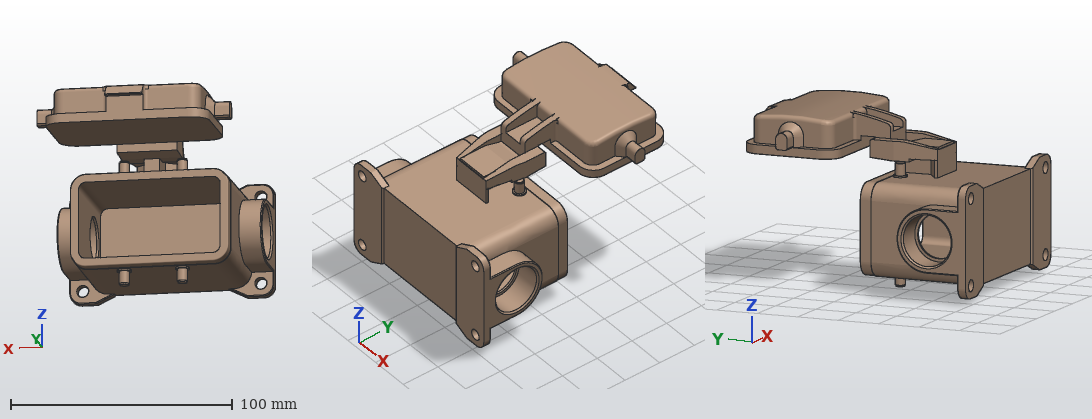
import cadquery as cq
import math


selection_margin = 0.2

housing_front_y = 1.0
housing_rear_y = 57.0
rim_depth = 5.6
rim_front_y = housing_rear_y - rim_depth
rim_half_width = 36.3
rim_half_height = 21.4
rim_corner_radius = 7.2
rim_edge_fillet = 0.5
shell_step = 0.2
shell_corner_radius = 7.6
shell_draft = 0.3
wall = 3.8

foot_half_width = 47.0
foot_half_height = 25.9
foot_thickness = 4.1
foot_corner_radius = 5.2
foot_inner_x = 26.3
foot_inner_half_height = 21.9
foot_slope_start_x = 34.7
foot_slope_fillet = 1.8
foot_step_chamfer = 0.7
foot_edge_chamfer = 0.5
foot_hole_x = 40.9
foot_hole_z = 20.0
foot_hole_diameter = 5.5

entry_y = 19.3
entry_outer_radius = 14.8
entry_bore_radius = 11.8
entry_mouth_chamfer = 0.8
entry_edge_chamfer = 0.5
entry_bore_end_x = 33.6
entry_throat_radius = 10.4

pin_x = 13.4
pin_y = 47.3
pin_radius = 2.4
pin_tip_z = 28.6
pin_tip_step = 0.7
pin_tip_inset = 0.4
collar_radius = 3.2
collar_top_z = 22.4

lid_y = 92.3
flange_half_width = 37.5
flange_half_depth = 23.2
flange_corner_radius = 8.2
flange_bottom_z = 31.5
flange_top_z = 35.7
cover_half_width = 33.8
cover_half_depth = 20.0
cover_corner_radius = 5.1
cover_edge_fillet = 2.1
crown_z = 49.5
crown_radius = 134.9

arm_half_width = 8.5
arm_front_y = 54.3
arm_bottom_z = 37.9
arm_tip_fillet = 2.4
arm_root_fillet = 1.4
tab_root_fillet = 1.9
tab_tip_y = 118.3
tab_tip_z = 43.2
tab_bottom_z = 42.7
tab_bevel_y = 114.8
pocket_half_width = 5.2
pocket_floor_z = 40.6

trunnion_root_x = 30.0
trunnion_end_x = 44.3
trunnion_z = 40.5
trunnion_radius = 2.8
trunnion_bottom_z = 35.6
trunnion_chamfer = 0.8
trunnion_base_radius = 6.3

lever_rear_y = 62.2
lever_knee_y = 50.3
lever_crest_y = 46.1
lever_front_y = 30.3
lever_pad_front_y = 43.4
lever_half_width = 13.8
lever_front_half_width = 10.6
lever_top_z = 37.6
lever_front_top_z = 34.8
lever_bottom_z = 29.8
lever_knee_bottom_z = 28.5
lever_rear_bottom_z = 29.3
lever_rear_chamfer = 0.6
panel_z = 35.6
panel_front_y = 30.6
panel_rear_y = 45.1
panel_ledge_z = 34.5
panel_dip_y = 52.7
panel_dip_z = 33.6
lever_front_plate = 1.4
leg_half_width = 3.5
leg_rear_y = 51.1
leg_front_y = 36.7
leg_flare_half_width = 10.4
leg_bottom_z = 21.5


def rounded_block_y(half_width, half_height, radius, start_y, end_y):
    """Rounded rectangle in XZ, running from start_y down to end_y along -Y."""
    return (
        cq.Workplane("XZ", origin=(0, start_y, 0))
        .rect(2 * half_width, 2 * half_height)
        .extrude(start_y - end_y)
        .edges("|Y")
        .fillet(radius)
    )


def side_profile(points, half_width):
    """Closed (y, z) outline extruded symmetrically across X = 0."""
    return cq.Workplane("YZ").polyline(points).close().extrude(half_width, both=True)


def mirrored_x(solid):
    """The solid together with its mirror image across X = 0."""
    return solid.union(solid.mirror("YZ"))


def make_shell():
    rim = rounded_block_y(
        rim_half_width, rim_half_height, rim_corner_radius, housing_rear_y, housing_front_y
    )
    rim = rim.faces(">Y").edges().fillet(rim_edge_fillet)
    corner_x = rim_half_width + shell_step
    corner_z = rim_half_height + shell_step
    shell_outline = cq.Sketch().rect(2 * corner_x, 2 * corner_z).vertices().fillet(shell_corner_radius)
    shell = (
        cq.Workplane("XZ", origin=(0, rim_front_y, 0))
        .placeSketch(shell_outline)
        .extrude(rim_front_y - housing_front_y, taper=-shell_draft)
    )
    return rim.union(shell)


def make_foot():
    outline = [
        (foot_inner_x, foot_inner_half_height),
        (foot_slope_start_x, foot_half_height),
        (foot_half_width, foot_half_height),
        (foot_half_width, -foot_half_height),
        (foot_slope_start_x, -foot_half_height),
        (foot_inner_x, -foot_inner_half_height),
    ]
    foot = cq.Workplane("XZ").polyline(outline).close().extrude(-foot_thickness)
    foot = foot.edges("|Y and >X").fillet(foot_corner_radius)
    slope_ends = cq.selectors.BoxSelector(
        (foot_slope_start_x - selection_margin, -foot_thickness, -2 * foot_half_height),
        (foot_slope_start_x + selection_margin, 2 * foot_thickness, 2 * foot_half_height),
    )
    foot = foot.edges("|Y").edges(slope_ends).fillet(foot_slope_fillet)
    foot = foot.faces(">Y").edges("not(<X)").chamfer(foot_edge_chamfer)
    foot = foot.edges("|Z and <X and <Y").chamfer(foot_step_chamfer)
    holes = (
        cq.Workplane("XZ")
        .pushPoints([(foot_hole_x, foot_hole_z), (foot_hole_x, -foot_hole_z)])
        .circle(foot_hole_diameter / 2)
        .extrude(-foot_thickness)
    )
    return foot.cut(holes)


def make_entry_boss():
    """U-shaped boss: a round entry whose sides run straight down to the foot."""
    boss = (
        cq.Workplane("YZ")
        .moveTo(foot_thickness / 2, entry_outer_radius)
        .lineTo(entry_y, entry_outer_radius)
        .threePointArc((entry_y + entry_outer_radius, 0), (entry_y, -entry_outer_radius))
        .lineTo(foot_thickness / 2, -entry_outer_radius)
        .close()
        .extrude(foot_half_width)
    )
    boss = boss.faces(">X").edges("not(<Y)").chamfer(entry_edge_chamfer)
    inner_half = cq.Workplane("XY").box(
        rim_half_width - wall, 2 * housing_rear_y, 4 * foot_half_height, centered=(False, True, True)
    )
    return boss.cut(inner_half)


def make_entry_bore():
    mouth_radius = entry_bore_radius + entry_mouth_chamfer
    profile = [
        (0, 0),
        (0, entry_throat_radius),
        (entry_bore_end_x, entry_throat_radius),
        (entry_bore_end_x, entry_bore_radius),
        (foot_half_width - entry_mouth_chamfer, entry_bore_radius),
        (foot_half_width, mouth_radius),
        (foot_half_width, 0),
    ]
    return (
        cq.Workplane("XY", origin=(0, entry_y, 0))
        .polyline(profile)
        .close()
        .revolve(360, (0, 0), (1, 0))
    )


def make_cavity():
    """Contact chamber, open at the mating end (+Y)."""
    return rounded_block_y(
        rim_half_width - wall,
        rim_half_height - wall,
        rim_corner_radius - wall,
        housing_rear_y,
        housing_front_y + wall,
    )


def make_pin():
    root_z = rim_half_height - wall
    tip_radius = pin_radius - pin_tip_inset
    profile = [
        (0, root_z),
        (collar_radius, root_z),
        (collar_radius, collar_top_z),
        (pin_radius, collar_top_z),
        (pin_radius, pin_tip_z - pin_tip_step),
        (tip_radius, pin_tip_z - pin_tip_step),
        (tip_radius, pin_tip_z),
        (0, pin_tip_z),
    ]
    return (
        cq.Workplane("XZ", origin=(pin_x, pin_y, 0))
        .polyline(profile)
        .close()
        .revolve(360, (0, 0), (0, 1))
    )


def crown_height(y):
    """Height of the arched lid top at a given Y."""
    return crown_z - crown_radius + math.sqrt(crown_radius**2 - (y - lid_y) ** 2)


def make_cover_block():
    return (
        cq.Workplane("XY", origin=(0, lid_y, flange_bottom_z))
        .rect(2 * cover_half_width, 2 * cover_half_depth)
        .extrude(crown_z - flange_bottom_z)
        .edges("|Z")
        .fillet(cover_corner_radius)
    )


def make_crown():
    """Cylinder along X that arches the lid top."""
    return (
        cq.Workplane("YZ", origin=(0, lid_y, crown_z - crown_radius))
        .circle(crown_radius)
        .extrude(foot_half_width, both=True)
    )


def round_cover_edges(lid):
    """Round the rim of the lid top, leaving the sides of the arm sharp."""
    half_depth = cover_half_depth + selection_margin
    rim_zone = cq.selectors.BoxSelector(
        (-flange_half_width, lid_y - half_depth, flange_top_z),
        (flange_half_width, lid_y + half_depth, crown_z),
    )
    top = lid.faces(cq.selectors.NearestToPointSelector((0, lid_y, crown_z)))
    return top.edges(rim_zone).fillet(cover_edge_fillet)


def round_arm_tips(lid):
    """Round the top front corners of the two arm ribs."""
    tip_zone = cq.selectors.BoxSelector(
        (-arm_half_width, arm_front_y - selection_margin, pocket_floor_z + selection_margin),
        (arm_half_width, arm_front_y + selection_margin, crown_z),
    )
    return lid.edges("|X").edges(tip_zone).fillet(arm_tip_fillet)


def make_flange():
    return (
        cq.Workplane("XY", origin=(0, lid_y, flange_bottom_z))
        .rect(2 * flange_half_width, 2 * flange_half_depth)
        .extrude(flange_top_z - flange_bottom_z)
        .edges("|Z")
        .fillet(flange_corner_radius)
    )


def make_arm():
    """Spine of the lid: rear tab, flat top to be arched later, and front arm down to the lever."""
    flange_rear_y = lid_y + flange_half_depth
    flange_front_y = lid_y - flange_half_depth
    return (
        cq.Workplane("YZ")
        .moveTo(arm_front_y, crown_z)
        .lineTo(tab_bevel_y, crown_z)
        .lineTo(tab_bevel_y, crown_height(tab_bevel_y))
        .lineTo(tab_tip_y, tab_tip_z)
        .lineTo(tab_tip_y, tab_bottom_z)
        .lineTo(flange_rear_y, tab_bottom_z)
        .lineTo(flange_rear_y, flange_bottom_z)
        .lineTo(flange_front_y, flange_bottom_z)
        .lineTo(flange_front_y, arm_bottom_z)
        .lineTo(lever_rear_y, arm_bottom_z)
        .lineTo(lever_rear_y, lever_bottom_z)
        .lineTo(arm_front_y, lever_bottom_z)
        .close()
        .extrude(arm_half_width, both=True)
    )


def make_root_fillets(wall_y, outward, radius):
    """Concave corners where the arm leaves the lid wall."""
    corner = (
        cq.Workplane("XY", origin=(0, 0, flange_top_z))
        .moveTo(arm_half_width, wall_y)
        .lineTo(arm_half_width + radius, wall_y)
        .radiusArc((arm_half_width, wall_y + outward * radius), outward * radius)
        .close()
        .extrude(crown_z - flange_top_z)
    )
    return mirrored_x(corner)


def make_pocket():
    """Channel in the arm, running back to the front wall of the lid."""
    rear_y = lid_y - cover_half_depth
    return (
        cq.Workplane("XY", origin=(0, (arm_front_y + rear_y) / 2, pocket_floor_z))
        .rect(2 * pocket_half_width, rear_y - arm_front_y)
        .extrude(crown_z - pocket_floor_z)
    )


def trunnion_outline(x, radius, bottom_z):
    """Arch-shaped outline at a given X: round top, straight sides, flat bottom."""
    return (
        cq.Workplane("YZ", origin=(x, lid_y, 0))
        .moveTo(-radius, bottom_z)
        .lineTo(-radius, trunnion_z)
        .threePointArc((0, trunnion_z + radius), (radius, trunnion_z))
        .lineTo(radius, bottom_z)
        .close()
    )


def make_trunnion():
    bar = trunnion_outline(trunnion_root_x, trunnion_radius, trunnion_bottom_z)
    bar = bar.extrude(trunnion_end_x - trunnion_root_x)
    bar = bar.faces("<Z").edges("|X").chamfer(trunnion_chamfer)
    base = trunnion_outline(cover_half_width, trunnion_base_radius, flange_top_z).val()
    neck = trunnion_outline(flange_half_width, trunnion_radius, flange_top_z).val()
    flare = cq.Solid.makeLoft([base, neck], True)
    return bar.union(cq.Workplane(flare))


def make_lever():
    side = [
        (lever_rear_y, lever_rear_bottom_z),
        (lever_rear_y, lever_top_z - lever_rear_chamfer),
        (lever_rear_y - lever_rear_chamfer, lever_top_z),
        (lever_crest_y, lever_top_z),
        (lever_front_y, lever_front_top_z),
        (lever_front_y, lever_bottom_z),
        (lever_pad_front_y, lever_bottom_z),
        (lever_pad_front_y, lever_knee_bottom_z),
        (leg_rear_y, lever_knee_bottom_z),
    ]
    lever = side_profile(side, lever_half_width)
    plan = [
        (lever_half_width, lever_rear_y),
        (lever_half_width, lever_knee_y),
        (lever_front_half_width, lever_front_y),
        (-lever_front_half_width, lever_front_y),
        (-lever_half_width, lever_knee_y),
        (-lever_half_width, lever_rear_y),
    ]
    footprint = cq.Workplane("XY").polyline(plan).close().extrude(crown_z)
    slot = [
        (lever_front_y, lever_bottom_z),
        (lever_front_y, lever_top_z),
        (arm_front_y, lever_top_z),
        (arm_front_y, lever_bottom_z),
    ]
    panel = [
        (lever_front_y, lever_bottom_z),
        (lever_front_y, panel_ledge_z),
        (panel_front_y, panel_ledge_z),
        (panel_front_y, panel_z),
        (panel_rear_y, panel_z),
        (panel_dip_y, panel_dip_z),
        (arm_front_y, panel_dip_z),
        (arm_front_y, lever_bottom_z),
    ]
    wings = lever.intersect(footprint).cut(side_profile(slot, arm_half_width))
    return wings.union(side_profile(panel, arm_half_width))


def make_lever_leg():
    """Front plate of the lever and the leg behind it, down to the housing top."""
    height = lever_bottom_z - leg_bottom_z
    plate_rear_y = lever_front_y + lever_front_plate
    plate = (
        cq.Workplane("XY", origin=(0, (lever_front_y + plate_rear_y) / 2, leg_bottom_z))
        .rect(2 * lever_front_half_width, lever_front_plate)
        .extrude(height)
    )
    plan = [
        (leg_half_width, leg_rear_y),
        (leg_half_width, leg_front_y),
        (leg_flare_half_width, plate_rear_y),
        (-leg_flare_half_width, plate_rear_y),
        (-leg_half_width, leg_front_y),
        (-leg_half_width, leg_rear_y),
    ]
    leg = cq.Workplane("XY", origin=(0, 0, leg_bottom_z)).polyline(plan).close().extrude(height)
    return plate.union(leg)


housing = make_shell()
housing = housing.union(mirrored_x(make_foot()))
housing = housing.union(mirrored_x(make_entry_boss()))
housing = housing.cut(make_cavity())
housing = housing.cut(mirrored_x(make_entry_bore()))

upper_pins = mirrored_x(make_pin())
pins = upper_pins.union(upper_pins.mirror("XY"))

cover_front_y = lid_y - cover_half_depth
cover_rear_y = lid_y + cover_half_depth
crown = make_crown()
lid = make_cover_block().union(make_arm()).cut(make_pocket()).intersect(crown)
lid = round_cover_edges(lid)
lid = round_arm_tips(lid)
lid = lid.union(make_root_fillets(cover_front_y, -1, arm_root_fillet).intersect(crown))
lid = lid.union(make_root_fillets(cover_rear_y, 1, tab_root_fillet).intersect(crown))
lid = lid.union(make_flange())
lid = lid.union(mirrored_x(make_trunnion()))

lever = make_lever().union(make_lever_leg())

result = housing.union(pins).union(lever).union(lid)